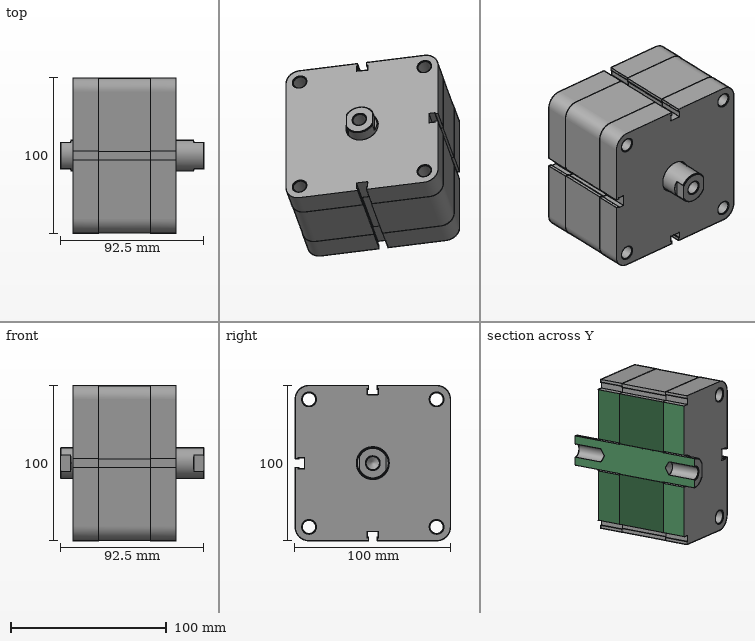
import cadquery as cq
import math

side = 100.0
corner_radius = 9.0
cap_thickness = 16.5
barrel_length = 33.5
barrel_inset = 0.15
barrel_side = side - 2 * barrel_inset
block_length = barrel_length + 2 * cap_thickness

hole_spacing = 82.0
hole_diameter = 8.5
hole_chamfer = 0.5

slot_depth = 6.0
cap_slot_mouth = 5.8
cap_slot_width = 7.4
cap_slot_lip = 2.0
barrel_slot_mouth = 5.4
barrel_slot_width = 6.6
barrel_slot_lip = 2.5
slot_angles = (0, 90, 180)

rod_diameter = 20.0
rod_radius = rod_diameter / 2
cap_bore_diameter = 21.2
rod_left_reach = 8.0
rod_right_reach = 18.0
rod_left = -block_length / 2 - rod_left_reach
rod_right = block_length / 2 + rod_right_reach
rod_chamfer = 0.5
flat_width = 17.0
flat_length = 6.5
shoulder_run = 0.5

drill_diameter = 8.5
drill_radius = drill_diameter / 2
drill_depth = 20.0
drill_chamfer = 0.5
drill_tip_angle = 118.0
drill_tip_length = drill_radius / math.tan(math.radians(drill_tip_angle / 2))


def square_block(x_start, length, size, radius):
    """Block along X with a centred square section and rounded long edges."""
    block = cq.Workplane("YZ", origin=(x_start, 0, 0)).rect(size, size).extrude(length)
    return block.edges("|X").fillet(radius)


def t_slots(x_start, length, half_size, mouth, width, lip):
    """T-slot cutters that open on the top, front and bottom sides."""
    floor = side / 2 - slot_depth
    lip_bottom = half_size - lip
    slot = (
        cq.Workplane("YZ", origin=(x_start, 0, 0))
        .moveTo(-width / 2, floor)
        .lineTo(width / 2, floor)
        .lineTo(width / 2, lip_bottom)
        .lineTo(mouth / 2, lip_bottom)
        .lineTo(mouth / 2, side / 2)
        .lineTo(-mouth / 2, side / 2)
        .lineTo(-mouth / 2, lip_bottom)
        .lineTo(-width / 2, lip_bottom)
        .close()
        .extrude(length)
    )
    cutters = cq.Workplane()
    for angle in slot_angles:
        cutters = cutters.add(slot.rotate((0, 0, 0), (1, 0, 0), angle))
    return cutters.combine()


def mounting_holes(x_start, length):
    """Four straight hole cutters at the corners of the hole square."""
    return (
        cq.Workplane("YZ", origin=(x_start, 0, 0))
        .rect(hole_spacing, hole_spacing, forConstruction=True)
        .vertices()
        .circle(hole_diameter / 2)
        .extrude(length)
    )


def round_bore(x_start, length, diameter):
    """Bore cutter on the rod axis."""
    return cq.Workplane("YZ", origin=(x_start, 0, 0)).circle(diameter / 2).extrude(length)


def make_cap(x_start, outer_face):
    """End cap; outer_face selects the face whose mounting holes are chamfered."""
    cap = square_block(x_start, cap_thickness, side, corner_radius)
    cap = cap.cut(mounting_holes(x_start, cap_thickness))
    hole_rims = cap.faces(outer_face).edges(cq.selectors.RadiusNthSelector(0))
    cap = hole_rims.chamfer(hole_chamfer)
    cap = cap.cut(round_bore(x_start, cap_thickness, cap_bore_diameter))
    return cap.cut(
        t_slots(x_start, cap_thickness, side / 2, cap_slot_mouth, cap_slot_width, cap_slot_lip)
    )


def make_barrel():
    """Middle block between the caps, with a bore that fits the rod."""
    x_start = -barrel_length / 2
    barrel = square_block(x_start, barrel_length, barrel_side, corner_radius - barrel_inset)
    barrel = barrel.cut(mounting_holes(x_start, barrel_length))
    barrel = barrel.cut(round_bore(x_start, barrel_length, rod_diameter))
    return barrel.cut(
        t_slots(
            x_start, barrel_length, barrel_side / 2,
            barrel_slot_mouth, barrel_slot_width, barrel_slot_lip,
        )
    )


def flats_cutter():
    """Material outside the wrench flats of a rod end at X = 0, with the rod along +X."""
    flat = flat_width / 2
    side_cut = (
        cq.Workplane("XY", origin=(0, 0, -rod_radius))
        .moveTo(0, flat)
        .lineTo(flat_length, flat)
        .lineTo(flat_length + shoulder_run, rod_radius)
        .lineTo(0, rod_radius)
        .close()
        .extrude(rod_diameter)
    )
    return side_cut.add(side_cut.mirror("XZ")).combine()


def drill_cutter():
    """Chamfered blind hole with a conical tip, entering at X = 0 along +X."""
    return (
        cq.Workplane("XY")
        .moveTo(0, 0)
        .lineTo(0, drill_radius + drill_chamfer)
        .lineTo(drill_chamfer, drill_radius)
        .lineTo(drill_depth, drill_radius)
        .lineTo(drill_depth + drill_tip_length, 0)
        .close()
        .revolve(360, (0, 0, 0), (1, 0, 0))
    )


def make_rod():
    """Through rod with the same flats and drilled hole at both ends."""
    rod = round_bore(rod_left, rod_right - rod_left, rod_diameter)
    rod = rod.faces("<X or >X").edges().chamfer(rod_chamfer)
    for cutter in (flats_cutter(), drill_cutter()):
        rod = rod.cut(cutter.translate((rod_left, 0, 0)))
        rod = rod.cut(cutter.mirror("YZ").translate((rod_right, 0, 0)))
    return rod


left_cap = make_cap(-block_length / 2, "<X")
right_cap = make_cap(barrel_length / 2, ">X")
barrel = make_barrel()
rod = make_rod()

result = cq.Compound.makeCompound([left_cap.val(), right_cap.val(), barrel.val(), rod.val()])